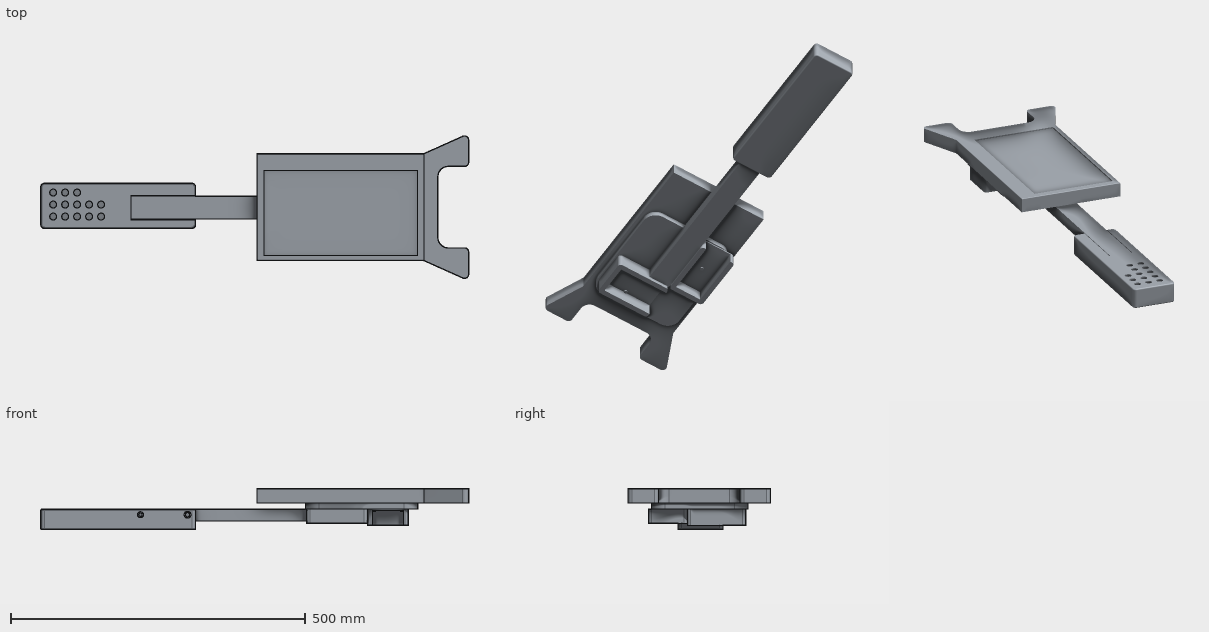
import cadquery as cq
total_length = 727.5

total_height = 70.0
tray_thickness = 25.0
mount_thickness = 10.0
tray_bottom = total_height - tray_thickness
mount_bottom = tray_bottom - mount_thickness

handle_length = 263.0
handle_width = 77.0
handle_height = mount_bottom
handle_center_y = 2.0
handle_corner_radius = 6.5
handle_edge_radius = 2.0
handle_front_y = handle_center_y - handle_width / 2

dimple_diameter = 12.0
dimple_depth = 4.0
dimple_pitch = 20.5
dimple_first_x = 21.0
dimple_first_y = -16.0
dimple_row_counts = (5, 5, 3)

side_holes = ((169.5, 10.0, 6.0), (249.5, 12.0, 7.0))
side_hole_z = 25.5
side_hole_step_depth = 1.5
side_hole_depth = 3.0

arm_start_x = 153.5
arm_width = 39.0
arm_thickness = 20.5
arm_center_y = -1.0
arm_slot_clearance = 1.1

mount_start_x = 449.5
mount_length = 191.0
mount_width = 164.5
mount_center_y = 1.0
mount_corner_radius = 23.0

holder_wall = 9.0
holder_roof = 2.0
holder_corner_radius = 6.0
holder_inner_y = arm_center_y - arm_width / 2

front_holder_start_x = 452.0
front_holder_length = 103.0
front_holder_height = 24.0
front_holder_outer_y = -86.5

rear_holder_start_x = front_holder_start_x + front_holder_length
rear_holder_length = 70.0
rear_holder_height = 28.0
rear_holder_outer_y = 79.0

stud_diameter = 6.0
stud_length = 2.0
rear_stud_spacing = 48.0

tray_start_x = 367.5
tray_length = 284.0
tray_width = 182.0
tray_end_x = tray_start_x + tray_length
tray_edge_radius = 1.1
panel_start_x = 380.0
panel_length = 260.5
panel_width = 145.0
panel_center_y = -10.0
panel_thickness = 4.0
panel_drop = 2.0

fork_web = 24.0
fork_gap = 138.0
fork_corner_y = 125.0
fork_tip_radius = 7.0
fork_inner_radius = 17.5


def block(start_x, length, center_y, width, bottom, height):
    """Box placed by its -X end, its middle in Y and its underside."""
    return (
        cq.Workplane("XY", origin=(start_x, center_y, bottom))
        .box(length, width, height, centered=(False, True, False))
    )


def make_arm():
    arm_length = rear_holder_start_x - arm_start_x
    return block(arm_start_x, arm_length, arm_center_y, arm_width, mount_bottom - arm_thickness, arm_thickness)


def make_handle():
    body = block(0, handle_length, handle_center_y, handle_width, 0, handle_height)
    body = body.edges("|Z").fillet(handle_corner_radius)
    body = body.faces(">Z or <Z").edges().fillet(handle_edge_radius)

    dimple_points = [
        (dimple_first_x + column * dimple_pitch, dimple_first_y + row * dimple_pitch)
        for row, count in enumerate(dimple_row_counts)
        for column in range(count)
    ]
    dimples = (
        cq.Workplane("XY", origin=(0, 0, handle_height - dimple_depth))
        .pushPoints(dimple_points)
        .circle(dimple_diameter / 2)
        .extrude(dimple_depth)
    )
    body = body.cut(dimples)

    for hole_x, outer_diameter, inner_diameter in side_holes:
        face = cq.Workplane("XZ", origin=(hole_x, handle_front_y, side_hole_z))
        body = body.cut(face.circle(outer_diameter / 2).extrude(-side_hole_step_depth))
        body = body.cut(face.circle(inner_diameter / 2).extrude(-side_hole_depth))

    slot = block(
        arm_start_x,
        handle_length - arm_start_x,
        arm_center_y,
        arm_width + 2 * arm_slot_clearance,
        handle_height - arm_thickness,
        arm_thickness,
    )
    return body.cut(slot)


def make_mount():
    mount = block(mount_start_x, mount_length, mount_center_y, mount_width, mount_bottom, mount_thickness)
    return mount.edges("|Z").fillet(mount_corner_radius)


def holder_studs(points):
    """Short round studs hanging from a holder roof at the given (X, Y) points."""
    return (
        cq.Workplane("XY", origin=(0, 0, mount_bottom - holder_roof))
        .pushPoints(points)
        .circle(stud_diameter / 2)
        .extrude(-stud_length)
    )


def make_front_holder():
    width = holder_inner_y - front_holder_outer_y
    center_y = (holder_inner_y + front_holder_outer_y) / 2
    bottom = mount_bottom - front_holder_height
    shell = block(front_holder_start_x, front_holder_length, center_y, width, bottom, front_holder_height)
    shell = shell.edges("|Z").fillet(holder_corner_radius)
    cavity = block(
        front_holder_start_x,
        front_holder_length - holder_wall,
        center_y,
        width - 2 * holder_wall,
        bottom,
        front_holder_height - holder_roof,
    )
    stud_x = front_holder_start_x + front_holder_length / 2
    return shell.cut(cavity).union(holder_studs([(stud_x, center_y)]))


def make_rear_holder():
    width = rear_holder_outer_y - holder_inner_y
    center_y = (rear_holder_outer_y + holder_inner_y) / 2
    bottom = mount_bottom - rear_holder_height
    shell = block(rear_holder_start_x, rear_holder_length, center_y, width, bottom, rear_holder_height)
    shell = shell.edges("|Z").fillet(holder_corner_radius)
    cavity = block(
        rear_holder_start_x + holder_wall,
        rear_holder_length - 2 * holder_wall,
        center_y - holder_wall / 2,
        width - holder_wall,
        bottom,
        rear_holder_height - holder_roof,
    )
    middle_x = rear_holder_start_x + rear_holder_length / 2
    stud_points = [(middle_x + side * rear_stud_spacing / 2, center_y) for side in (-1, 1)]
    return shell.cut(cavity).union(holder_studs(stud_points))


def make_panel():
    bottom = total_height - panel_drop - panel_thickness
    return block(panel_start_x, panel_length, panel_center_y, panel_width, bottom, panel_thickness)


def make_tray():
    recess_depth = panel_drop + panel_thickness
    recess = block(
        panel_start_x, panel_length, panel_center_y, panel_width, total_height - recess_depth, recess_depth
    )
    tray = block(tray_start_x, tray_length, 0, tray_width, tray_bottom, tray_thickness)
    tray = tray.faces(">Z").edges("<X or |X").fillet(tray_edge_radius)
    return tray.cut(recess)


def make_fork():
    inner_x = tray_end_x + fork_web
    fork = (
        cq.Workplane("XY", origin=(0, 0, tray_bottom))
        .moveTo(tray_end_x, -tray_width / 2)
        .lineTo(total_length, -fork_corner_y)
        .lineTo(total_length, -fork_gap / 2)
        .lineTo(inner_x, -fork_gap / 2)
        .lineTo(inner_x, fork_gap / 2)
        .lineTo(total_length, fork_gap / 2)
        .lineTo(total_length, fork_corner_y)
        .lineTo(tray_end_x, tray_width / 2)
        .close()
        .extrude(tray_thickness)
    )
    inner_corners = cq.selectors.BoxSelector(
        (inner_x - 7, -tray_width, 0), (inner_x + 7, tray_width, total_height)
    )
    fork = fork.edges("|Z").edges(inner_corners).fillet(fork_inner_radius)
    return fork.faces(">X").edges("|Z").fillet(fork_tip_radius)


arm = make_arm()
handle = make_handle()
mount = make_mount()
front_holder = make_front_holder()
rear_holder = make_rear_holder()
panel = make_panel()
tray = make_tray()
fork = make_fork()

result = cq.Compound.makeCompound(
    [
        handle.val(),
        arm.val(),
        mount.val(),
        front_holder.val(),
        rear_holder.val(),
        tray.val(),
        panel.val(),
        fork.val(),
    ]
)